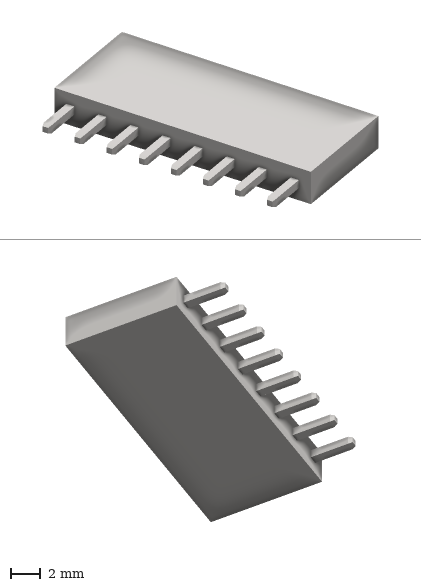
import cadquery as cq

pin_count = 8
pitch = 2.54
housing_length = pin_count * pitch
housing_depth = 8.5
housing_height = pitch

pin_width = 0.635
pin_length = 3.15
tip_length = 0.3
tip_inset = 0.1
tip_width = pin_width - 2 * tip_inset
shank_length = pin_length - tip_length


def make_housing():
    """Housing centred on X and Z, with its pin face on Y = 0."""
    return cq.Workplane("XY").box(
        housing_length, housing_depth, housing_height, centered=(True, False, True)
    )


def make_pin(x):
    """Square pin pointing toward -Y from Y = 0, ending in a tapered tip."""
    shank = cq.Workplane("XZ").center(x, 0).rect(pin_width, pin_width).extrude(shank_length)
    tip = (
        cq.Workplane("XZ", origin=(x, -shank_length, 0))
        .rect(pin_width, pin_width)
        .workplane(offset=tip_length)
        .rect(tip_width, tip_width)
        .loft(ruled=True)
    )
    return shank.union(tip)


result = make_housing()
for index in range(pin_count):
    pin_x = (index - (pin_count - 1) / 2) * pitch
    result = result.union(make_pin(pin_x))